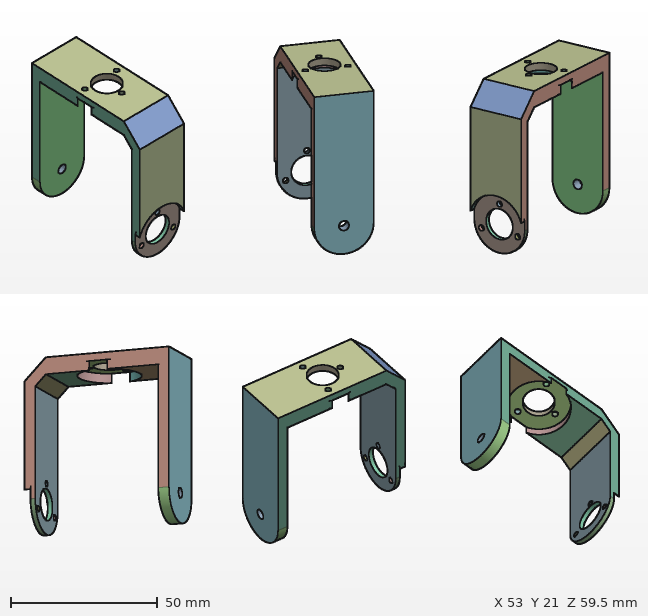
import cadquery as cq

length = 53.0
width = 21.0
height = 59.5

leg_thickness = 4.0
top_thickness = 5.95
outer_chamfer = 7.85
inner_chamfer = 3.9

recess_diameter = 22.0
top_floor = 2.7
leg_floor = 1.8

pivot_diameter = 3.5
horn_diameter = 11.0
screw_diameter = 2.0
horn_x = 25.95
single_screw_offset = 7.3
pair_screw_setback = 3.0
pair_screw_spread = 7.5

tip_radius = width / 2
axis_z = tip_radius
inner_right = length - leg_thickness
ceiling = height - top_thickness


def bracket_body():
    """Bent bracket outline extruded over the full width."""
    return (
        cq.Workplane("XZ")
        .moveTo(0, 0)
        .lineTo(0, height)
        .lineTo(length - outer_chamfer, height)
        .lineTo(length, height - outer_chamfer)
        .lineTo(length, 0)
        .lineTo(inner_right, 0)
        .lineTo(inner_right, ceiling - inner_chamfer)
        .lineTo(inner_right - inner_chamfer, ceiling)
        .lineTo(leg_thickness, ceiling)
        .lineTo(leg_thickness, 0)
        .close()
        .extrude(width / 2, both=True)
    )


def rounded_envelope():
    """Slab with a half-round lower end that rounds both leg tips."""
    return (
        cq.Workplane("YZ")
        .moveTo(-tip_radius, height)
        .lineTo(-tip_radius, axis_z)
        .threePointArc((0, 0), (tip_radius, axis_z))
        .lineTo(tip_radius, height)
        .close()
        .extrude(length)
    )


def servo_seat(plane, wall, floor):
    """Cutter for a round recess and its holes, starting on the recessed wall face.

    The recess leaves a floor of the given thickness. A large hole and three screw holes pierce it; the
    single screw lies along local x.
    """
    screws = [
        (single_screw_offset, 0),
        (-pair_screw_setback, pair_screw_spread),
        (-pair_screw_setback, -pair_screw_spread),
    ]
    large = cq.Workplane(plane).circle(horn_diameter / 2).extrude(wall)
    small = cq.Workplane(plane).pushPoints(screws).circle(screw_diameter / 2).extrude(wall)
    recess = cq.Workplane(plane).circle(recess_diameter / 2).extrude(wall - floor)
    return recess.union(large).union(small)


top_plane = cq.Plane(origin=(horn_x, 0, ceiling), xDir=(1, 0, 0), normal=(0, 0, 1))
leg_plane = cq.Plane(origin=(length, 0, axis_z), xDir=(0, 0, 1), normal=(-1, 0, 0))
pivot_hole = (
    cq.Workplane("YZ")
    .center(0, axis_z)
    .circle(pivot_diameter / 2)
    .extrude(leg_thickness)
)

result = (
    bracket_body()
    .intersect(rounded_envelope())
    .cut(servo_seat(top_plane, top_thickness, top_floor))
    .cut(servo_seat(leg_plane, leg_thickness, leg_floor))
    .cut(pivot_hole)
)